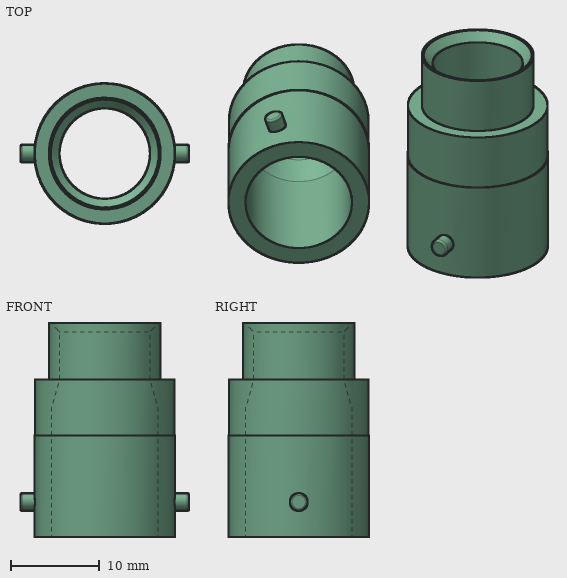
import cadquery as cq

height = 24.15
body_diameter = 15.88
body_top = 11.45
collar_diameter = 15.76
collar_top = 17.8
neck_diameter = 12.6

bore_diameter = 10.16
mouth_diameter = 12.2
mouth_depth = (mouth_diameter - bore_diameter) / 2
lower_bore_diameter = 12.0
flare_top = collar_top
flare_length = 3.23

pin_diameter = 2.0
pin_span = 19.0
pin_height = 3.95
pin_rounding = 0.25


def revolved_sleeve():
    """Revolve the half section of the hollow sleeve about Z."""
    half_section = [
        (lower_bore_diameter / 2, 0),
        (body_diameter / 2, 0),
        (body_diameter / 2, body_top),
        (collar_diameter / 2, body_top),
        (collar_diameter / 2, collar_top),
        (neck_diameter / 2, collar_top),
        (neck_diameter / 2, height),
        (mouth_diameter / 2, height),
        (bore_diameter / 2, height - mouth_depth),
        (bore_diameter / 2, flare_top),
        (lower_bore_diameter / 2, flare_top - flare_length),
    ]
    return cq.Workplane("XZ").polyline(half_section).close().revolve(360, (0, 0), (0, 1))


def bayonet_pin(side):
    """Pin from mid-wall outwards; side is +1 for +X and -1 for -X."""
    root = (lower_bore_diameter + body_diameter) / 4
    length = pin_span / 2 - root
    return (
        cq.Workplane("YZ", origin=(side * root, 0, pin_height))
        .circle(pin_diameter / 2)
        .extrude(side * length)
        .faces(">X" if side > 0 else "<X")
        .fillet(pin_rounding)
    )


result = revolved_sleeve()
for side in (-1, 1):
    result = result.union(bayonet_pin(side))